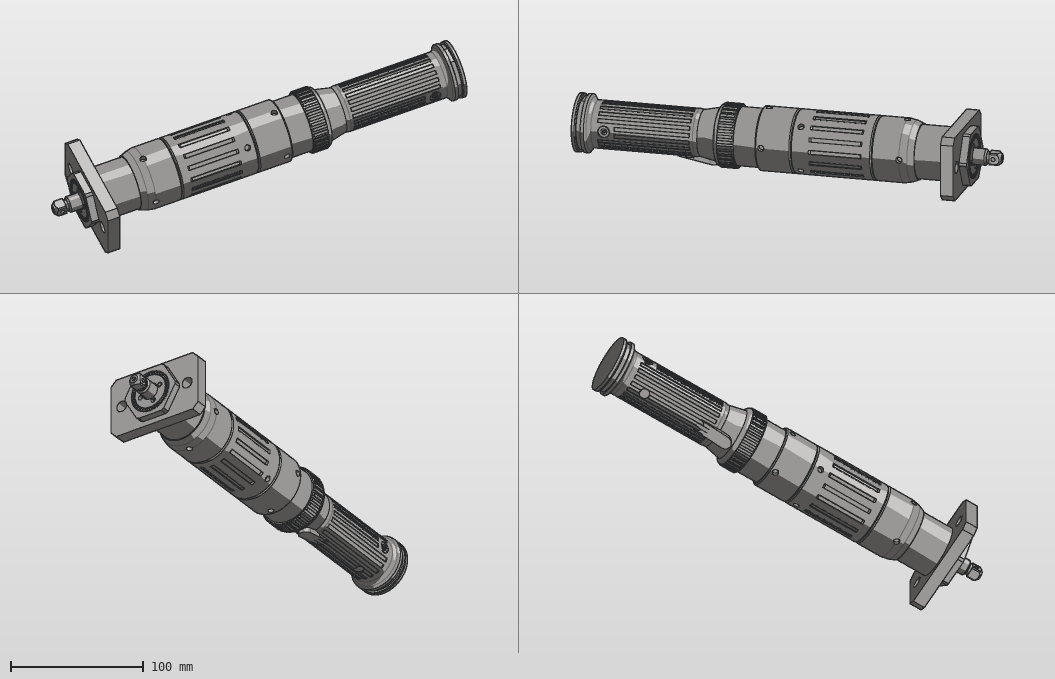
import cadquery as cq
import math

NECK_FRONT_Y = 9.3
SHAFT_CHAMFER_Y = 11.3
SHAFT_FRONT_Y = 12.5
HEX_FRONT_Y = 21.5
PLATE_FRONT_Y = 27.5
PLATE_BACK_Y = 37.5
NOSE_FRONT_Y = 63.2
NOSE_BEND_Y = 68.2
NOSE_BACK_Y = 74.0
FRONT_GROOVE_Y = 96.0
REAR_GROOVE_Y = 159.2
BODY_BACK_Y = 187.0
KNURL_FRONT_Y = 204.2
KNURL_BACK_Y = 216.8
SHOULDER_BACK_Y = 220.5
CONE_BACK_Y = 234.0
GRIP_FRONT_Y = 237.3
FLARE_FRONT_Y = 316.8
FLARE_BACK_Y = 320.0
HEAD_FRONT_Y = 321.5
HEAD_GROOVE_FRONT_Y = 324.0
HEAD_GROOVE_BACK_Y = 327.7
LENGTH = 331.0

NECK_R = 9.0 / 2
SHAFT_R = 12.5 / 2
BARREL_R = 41.5 / 2
NOSE_FRONT_R = 21.5
NOSE_BEND_R = 23.5
BODY_R = 49.3 / 2
COLLAR_R = 45.0 / 2
SHOULDER_R = 24.0
CONE_FRONT_R = 21.0
CONE_BACK_R = 18.0
GRIP_R = 36.7 / 2
FLARE_R = 20.5
HEAD_R = 45.0 / 2
HEAD_GROOVE_R = 20.5
BODY_CHAMFER = 1.0
HEAD_CHAMFER_WIDTH = 0.3
HEAD_CHAMFER_LENGTH = 1.0

DRIVE_SIZE = 9.3
DRIVE_CORNER_D = 12.0
DRIVE_TIP_CHAMFER = 2.5
DRIVE_HOLE_D = 3.18
DRIVE_HOLE_Y = 6.0
CENTRE_HOLE_D = 3.18
CENTRE_HOLE_DEPTH = 2.0

PLATE_WIDTH = 80.0
PLATE_HEIGHT = 50.0
PLATE_CHAMFER = 5.0
PLATE_HOLE_D = 9.0
PLATE_HOLE_SPACING = 60.0
HEX_FLATS = 41.0
HEX_CORNER_D = 46.0

RING_OUTER_R = 34.0 / 2
RING_WIDTH = 3.0
RING_DEPTH = 2.0
TOOTH_COUNT = 30
TOOTH_WIDTH = 1.3
TOOTH_DROP = 0.3
KEYHOLE_COUNT = 4
KEYHOLE_D = 3.5
KEYHOLE_R = 9.3
KEYHOLE_NECK = 1.6
KEYHOLE_ANGLE = 18
KEYHOLE_DEPTH = 3.3
SHAFT_RECESS_D = 14.0

GROOVE_WIDTH = 2.0
GROOVE_DEPTH = 1.0
PIN_HOLE_D = 4.5
PIN_HOLE_DEPTH = 4.0
PIN_HOLE_COUNT = 4
FRONT_PIN_Y = 74.0
CLAMP_PIN_Y = 152.5
REAR_PIN_Y = 182.0
SLOT_COUNT = 16
SLOT_FRONT_Y = 103.5
SLOT_BACK_Y = 145.0
SLOT_WIDTH = 3.18
SLOT_DEPTH = 1.0
SLOT_RAMP = 1.3
KNURL_COUNT = 36
KNURL_WIDTH = 2.0
KNURL_DEPTH = 1.0
KNURL_CHAMFER = 1.0

FLUTE_COUNT = 20
FLUTE_FRONT_Y = 240.0
FLUTE_BACK_Y = 311.8
SHORT_FLUTE_BACK_Y = 298.5
FLUTE_WIDTH = 3.0
FLUTE_DEPTH = 1.0
BUTTON_Y = 307.0
BUTTON_RECESS_D = 9.0
BUTTON_RECESS_DEPTH = 1.3
BUTTON_D = 4.5
BUTTON_HEIGHT = 0.3
BUTTON_SOCKET_D = 2.0
BUTTON_SOCKET_DEPTH = 1.5
UNDERSIDE_RECESS_D = 8.0
UNDERSIDE_RECESS_Y = 298.5
HEAD_FLAT_WIDTH = 13.0
LUG_WIDTH = 10.0
LUG_FRONT_Y = 222.0
LUG_BACK_Y = 255.0
LUG_FRONT_DROP = 23.8
LUG_BACK_DROP = 18.0


def cylinder_y(diameter, start, end):
    """Cylinder on the tool axis between two Y positions."""
    return cq.Workplane("XZ", origin=(0, start, 0)).circle(diameter / 2).extrude(start - end)


def box_y(width, start, end, low, high):
    """Box along Y, centred on X, between two heights in Z."""
    size = (width, end - start, high - low)
    centre = (0, (start + end) / 2, (low + high) / 2)
    return cq.Workplane("XY").box(*size).translate(centre)


def around_axis(shape, angle):
    """Turn a shape drawn on the +Z side about the tool axis."""
    return shape.rotate((0, 0, 0), (0, 1, 0), angle)


def radial_cylinder(diameter, y, inner, outer):
    """Cylinder along +Z between two distances from the tool axis."""
    return cq.Workplane("XY", origin=(0, y, inner)).circle(diameter / 2).extrude(outer - inner)


def cut_pattern(body, shape, count, first_angle=0):
    """Cut equally spaced copies of one cutter around the tool axis."""
    cutters = [around_axis(shape, first_angle + 360 * i / count).val() for i in range(count)]
    return body.cut(cq.Workplane(cq.Compound.makeCompound(cutters)))


def turned_body():
    """Whole outline from the drive neck to the grip head, turned about the Y axis."""
    shoulder_round = math.sqrt(0.5)
    shoulder_middle = (
        CONE_FRONT_R + (SHOULDER_R - CONE_FRONT_R) * shoulder_round,
        KNURL_BACK_Y + (SHOULDER_BACK_Y - KNURL_BACK_Y) * shoulder_round,
    )
    return (
        cq.Workplane("XY")
        .moveTo(0, NECK_FRONT_Y)
        .lineTo(NECK_R, NECK_FRONT_Y)
        .lineTo(NECK_R, SHAFT_CHAMFER_Y)
        .lineTo(SHAFT_R - (SHAFT_FRONT_Y - SHAFT_CHAMFER_Y), SHAFT_CHAMFER_Y)
        .lineTo(SHAFT_R, SHAFT_FRONT_Y)
        .lineTo(SHAFT_R, PLATE_FRONT_Y)
        .lineTo(BARREL_R, PLATE_FRONT_Y)
        .lineTo(BARREL_R, NOSE_FRONT_Y)
        .lineTo(NOSE_FRONT_R, NOSE_FRONT_Y)
        .lineTo(NOSE_BEND_R, NOSE_BEND_Y)
        .lineTo(BODY_R, NOSE_BACK_Y)
        .lineTo(BODY_R, BODY_BACK_Y - BODY_CHAMFER)
        .lineTo(BODY_R - BODY_CHAMFER, BODY_BACK_Y)
        .lineTo(COLLAR_R, BODY_BACK_Y)
        .lineTo(COLLAR_R, KNURL_FRONT_Y)
        .lineTo(BODY_R - KNURL_CHAMFER, KNURL_FRONT_Y)
        .lineTo(BODY_R, KNURL_FRONT_Y + KNURL_CHAMFER)
        .lineTo(BODY_R, KNURL_BACK_Y)
        .lineTo(SHOULDER_R, KNURL_BACK_Y)
        .threePointArc(shoulder_middle, (CONE_FRONT_R, SHOULDER_BACK_Y))
        .lineTo(CONE_BACK_R, CONE_BACK_Y)
        .lineTo(GRIP_R, GRIP_FRONT_Y)
        .lineTo(GRIP_R, FLARE_FRONT_Y)
        .tangentArcPoint((FLARE_R, FLARE_BACK_Y), relative=False)
        .lineTo(HEAD_R, HEAD_FRONT_Y)
        .lineTo(HEAD_R, HEAD_GROOVE_FRONT_Y)
        .lineTo(HEAD_GROOVE_R, HEAD_GROOVE_FRONT_Y)
        .lineTo(HEAD_GROOVE_R, HEAD_GROOVE_BACK_Y)
        .lineTo(HEAD_R - HEAD_CHAMFER_WIDTH, HEAD_GROOVE_BACK_Y)
        .lineTo(HEAD_R, HEAD_GROOVE_BACK_Y + HEAD_CHAMFER_LENGTH)
        .lineTo(HEAD_R, LENGTH)
        .lineTo(0, LENGTH)
        .close()
        .revolve(360, (0, 0), (0, 1))
    )


def square_drive():
    half = DRIVE_SIZE / 2
    drive = box_y(DRIVE_SIZE, 0, NECK_FRONT_Y, -half, half)
    rounding = cylinder_y(DRIVE_CORNER_D, 0, NECK_FRONT_Y).faces("<Y").chamfer(DRIVE_TIP_CHAMFER)
    cross_hole = cq.Workplane("YZ").center(DRIVE_HOLE_Y, 0).circle(DRIVE_HOLE_D / 2)
    centre_hole = cylinder_y(CENTRE_HOLE_D, 0, CENTRE_HOLE_DEPTH)
    drive = drive.intersect(rounding).cut(centre_hole)
    return drive.cut(cross_hole.extrude(DRIVE_SIZE, both=True))


def reaction_plate():
    plate = box_y(PLATE_WIDTH, PLATE_FRONT_Y, PLATE_BACK_Y, -PLATE_HEIGHT / 2, PLATE_HEIGHT / 2)
    plate = plate.edges("|Y").chamfer(PLATE_CHAMFER)
    for side in (-1, 1):
        hole = cylinder_y(PLATE_HOLE_D, PLATE_FRONT_Y, PLATE_BACK_Y)
        plate = plate.cut(hole.translate((side * PLATE_HOLE_SPACING / 2, 0, 0)))
    return plate


def hexagon():
    corner_to_corner = HEX_FLATS / math.cos(math.radians(30))
    prism = (
        cq.Workplane("XZ", origin=(0, HEX_FRONT_Y, 0))
        .polygon(6, corner_to_corner)
        .extrude(HEX_FRONT_Y - PLATE_FRONT_Y)
    )
    return prism.intersect(cylinder_y(HEX_CORNER_D, HEX_FRONT_Y, PLATE_FRONT_Y))


def toothed_ring_cutter():
    """Ring-shaped recess with the teeth left standing in it."""
    floor_y = HEX_FRONT_Y + RING_DEPTH
    inner_r = RING_OUTER_R - RING_WIDTH
    ring = cylinder_y(2 * RING_OUTER_R, HEX_FRONT_Y, floor_y)
    ring = ring.cut(cylinder_y(2 * inner_r, HEX_FRONT_Y, floor_y))
    tooth = box_y(TOOTH_WIDTH, HEX_FRONT_Y + TOOTH_DROP, floor_y, inner_r / 2, RING_OUTER_R + RING_WIDTH)
    return cut_pattern(ring, tooth, TOOTH_COUNT)


def shaft_recess():
    """Ring-shaped gap around the shaft in the hexagon face."""
    floor_y = HEX_FRONT_Y + KEYHOLE_DEPTH
    ring = cylinder_y(SHAFT_RECESS_D, HEX_FRONT_Y, floor_y)
    return ring.cut(cylinder_y(2 * SHAFT_R, HEX_FRONT_Y, floor_y))


def keyhole_cutter():
    """Round pocket joined to the shaft by a narrow channel."""
    floor_y = HEX_FRONT_Y + KEYHOLE_DEPTH
    pocket = cylinder_y(KEYHOLE_D, HEX_FRONT_Y, floor_y).translate((0, 0, KEYHOLE_R))
    channel = box_y(KEYHOLE_NECK, HEX_FRONT_Y, floor_y, SHAFT_R, KEYHOLE_R)
    return pocket.union(channel)


def body_groove(y):
    """V-shaped ring that cuts a groove around the body."""
    return (
        cq.Workplane("XY")
        .moveTo(BODY_R, y - GROOVE_WIDTH / 2)
        .lineTo(BODY_R - GROOVE_DEPTH, y)
        .lineTo(BODY_R, y + GROOVE_WIDTH / 2)
        .close()
        .revolve(360, (0, 0), (0, 1))
    )


def ramped_slot():
    """Long slot whose floor rises on a ramp at each end."""
    floor = BODY_R - SLOT_DEPTH
    return (
        cq.Workplane("YZ")
        .moveTo(SLOT_FRONT_Y, BODY_R + SLOT_DEPTH)
        .lineTo(SLOT_FRONT_Y, BODY_R)
        .lineTo(SLOT_FRONT_Y + SLOT_RAMP, floor)
        .lineTo(SLOT_BACK_Y - SLOT_RAMP, floor)
        .lineTo(SLOT_BACK_Y, BODY_R)
        .lineTo(SLOT_BACK_Y, BODY_R + SLOT_DEPTH)
        .close()
        .extrude(SLOT_WIDTH / 2, both=True)
    )


def cut_flutes(body):
    """Grip flutes; those beside the buttons on the X sides stop short."""
    pitch = 360 / FLUTE_COUNT
    cutters = []
    for i in range(FLUTE_COUNT):
        angle = pitch * (i + 0.5)
        beside_button = abs(math.sin(math.radians(angle))) > math.cos(math.radians(pitch))
        back_y = SHORT_FLUTE_BACK_Y if beside_button else FLUTE_BACK_Y
        flute = box_y(FLUTE_WIDTH, FLUTE_FRONT_Y, back_y, GRIP_R - FLUTE_DEPTH, GRIP_R + FLUTE_DEPTH)
        cutters.append(around_axis(flute, angle).val())
    return body.cut(cq.Workplane(cq.Compound.makeCompound(cutters)))


def add_button(body, angle):
    """Recessed round button with a small socket."""
    floor = GRIP_R - BUTTON_RECESS_DEPTH
    top = floor + BUTTON_HEIGHT
    recess = radial_cylinder(BUTTON_RECESS_D, BUTTON_Y, floor, HEAD_R)
    button = radial_cylinder(BUTTON_D, BUTTON_Y, floor - BUTTON_SOCKET_DEPTH, top)
    socket = radial_cylinder(BUTTON_SOCKET_D, BUTTON_Y, top - BUTTON_SOCKET_DEPTH, top)
    body = body.cut(around_axis(recess, angle)).union(around_axis(button, angle))
    return body.cut(around_axis(socket, angle))


def underside_lug():
    """Round-ended pad under the grip, standing out further towards the shoulder."""
    length = LUG_BACK_Y - LUG_FRONT_Y
    pad = (
        cq.Workplane("XY", origin=(0, (LUG_FRONT_Y + LUG_BACK_Y) / 2, 0))
        .slot2D(length, LUG_WIDTH, 90)
        .extrude(-LUG_FRONT_DROP)
    )
    wedge = (
        cq.Workplane("YZ")
        .polyline([
            (LUG_FRONT_Y, 0),
            (LUG_BACK_Y, 0),
            (LUG_BACK_Y, -LUG_BACK_DROP),
            (LUG_FRONT_Y, -LUG_FRONT_DROP),
        ])
        .close()
        .extrude(LUG_WIDTH, both=True)
    )
    return pad.intersect(wedge)


def head_flat():
    """Cutter for the flat in the head groove on the +Z side."""
    flat_height = math.sqrt(HEAD_GROOVE_R**2 - (HEAD_FLAT_WIDTH / 2) ** 2)
    return box_y(HEAD_FLAT_WIDTH, HEAD_GROOVE_FRONT_Y, HEAD_GROOVE_BACK_Y, flat_height, HEAD_GROOVE_R)


result = turned_body().union(square_drive()).union(reaction_plate()).union(hexagon())
result = result.union(underside_lug())

result = result.cut(toothed_ring_cutter())
result = result.cut(shaft_recess())
result = cut_pattern(result, keyhole_cutter(), KEYHOLE_COUNT, -KEYHOLE_ANGLE)

for groove_y in (FRONT_GROOVE_Y, REAR_GROOVE_Y):
    result = result.cut(body_groove(groove_y))
for pin_y, pin_angle in ((FRONT_PIN_Y, 0), (CLAMP_PIN_Y, 180 / PIN_HOLE_COUNT), (REAR_PIN_Y, 0)):
    pin_hole = radial_cylinder(PIN_HOLE_D, pin_y, BODY_R - PIN_HOLE_DEPTH, BODY_R + PIN_HOLE_DEPTH)
    result = cut_pattern(result, pin_hole, PIN_HOLE_COUNT, pin_angle)
result = cut_pattern(result, ramped_slot(), SLOT_COUNT)
knurl = box_y(KNURL_WIDTH, KNURL_FRONT_Y, KNURL_BACK_Y, BODY_R - KNURL_DEPTH, BODY_R + KNURL_DEPTH)
result = cut_pattern(result, knurl, KNURL_COUNT)

result = cut_flutes(result)
for button_angle in (-90, 90):
    result = add_button(result, button_angle)
recess_floor = GRIP_R - BUTTON_RECESS_DEPTH
underside_recess = radial_cylinder(UNDERSIDE_RECESS_D, UNDERSIDE_RECESS_Y, recess_floor, HEAD_R)
result = result.cut(around_axis(underside_recess, 180))
result = result.cut(head_flat())